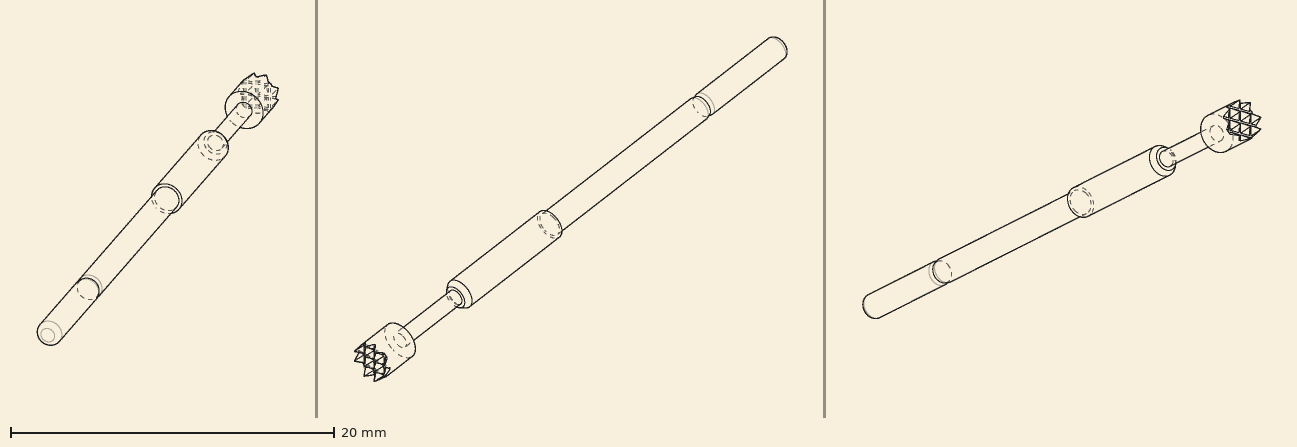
import cadquery as cq


total_length = 39.3
head_length = 3.0
plunger_length = 5.3
collar_length = 9.0
collar_chamfer_length = 0.4

head_diameter = 2.5
plunger_diameter = 1.04
collar_diameter = 2.0
collar_chamfer_depth = 0.25
barrel_diameter = 1.6
tail_face_diameter = 0.9

crimp_width = 0.6
crimp_depth = 0.08
crimp_from_tail = 7.47

tooth_pitch = 0.8
tooth_depth = 0.58
groove_floor = 0.12
groove_count = 3

head_radius = head_diameter / 2
plunger_radius = plunger_diameter / 2
collar_radius = collar_diameter / 2
barrel_radius = barrel_diameter / 2
tail_face_radius = tail_face_diameter / 2
tail_round = barrel_radius - tail_face_radius

tip_y = total_length / 2
tail_y = -total_length / 2
head_back_y = tip_y - head_length
collar_front_y = head_back_y - plunger_length
collar_back_y = collar_front_y - collar_length
crimp_y = tail_y + crimp_from_tail


def make_body():
    """Revolve the stepped half-profile about the Y axis, with a blank head."""
    profile = (
        cq.Workplane("XY")
        .moveTo(0, tail_y)
        .lineTo(tail_face_radius, tail_y)
        .radiusArc((barrel_radius, tail_y + tail_round), -tail_round)
        .lineTo(barrel_radius, crimp_y - crimp_width / 2)
        .lineTo(barrel_radius - crimp_depth, crimp_y)
        .lineTo(barrel_radius, crimp_y + crimp_width / 2)
        .lineTo(barrel_radius, collar_back_y)
        .lineTo(collar_radius, collar_back_y)
        .lineTo(collar_radius, collar_front_y - collar_chamfer_length)
        .lineTo(collar_radius - collar_chamfer_depth, collar_front_y)
        .lineTo(plunger_radius, collar_front_y)
        .lineTo(plunger_radius, head_back_y)
        .lineTo(head_radius, head_back_y)
        .lineTo(head_radius, tip_y)
        .lineTo(0, tip_y)
        .close()
    )
    return profile.revolve(360, (0, 0, 0), (0, 1, 0))


def make_serration(plane):
    """Parallel grooves across the head tip, sketched on a plane whose vertical is Y."""
    floor_y = tip_y - tooth_depth
    grooves = cq.Workplane(plane)
    for index in range(groove_count):
        centre = (index - (groove_count - 1) / 2) * tooth_pitch
        grooves = (
            grooves.moveTo(centre - tooth_pitch / 2, tip_y)
            .lineTo(centre - groove_floor / 2, floor_y)
            .lineTo(centre + groove_floor / 2, floor_y)
            .lineTo(centre + tooth_pitch / 2, tip_y)
            .close()
        )
    return grooves.extrude(head_diameter, both=True)


body = make_body()
result = body.cut(make_serration("XY")).cut(make_serration("ZY"))